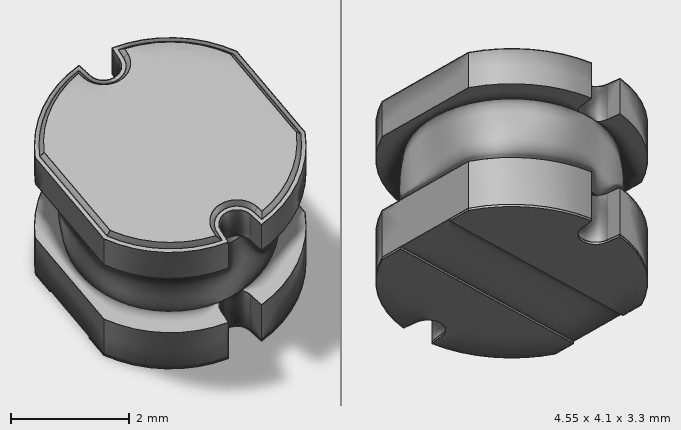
import cadquery as cq
import math

length = 4.55
width = 4.1
notch_mouth = 0.675
notch_floor_x = 1.73
notch_radius = 0.305
notch_flare = math.radians(7)
flange_radius = math.hypot(length / 2, notch_mouth / 2)

pad_thickness = 0.045
lower_flange_top = 1.0
upper_flange_bottom = 2.502
total_height = 3.3

ledge_width = 0.077
rim_chamfer = 0.077
ledge_height = total_height - rim_chamfer

post_diameter = 1.84
winding_end_radius = 1.845
winding_middle_radius = 1.905
pad_gap = 1.19


def flange_plate(bottom, top):
    """Flange outline extruded between two heights."""
    height = top - bottom
    disc = cq.Workplane("XY").workplane(offset=bottom).circle(flange_radius).extrude(height)
    flats = cq.Workplane("XY").box(2 * flange_radius, width, height, centered=(True, True, False))
    plate = disc.intersect(flats.translate((0, 0, bottom)))
    for direction in (-1, 1):
        plate = plate.cut(notch(direction, bottom, height))
    return plate


def notch(direction, bottom, height):
    """Round-floored notch whose flared sides are tangent to the floor."""
    center_x = notch_floor_x + notch_radius
    tangent_x = center_x - notch_radius * math.sin(notch_flare)
    tangent_y = notch_radius * math.cos(notch_flare)
    outer_x = flange_radius + notch_radius
    outer_y = tangent_y + (outer_x - tangent_x) * math.tan(notch_flare)
    return (
        cq.Workplane("XY").workplane(offset=bottom)
        .moveTo(direction * outer_x, outer_y)
        .lineTo(direction * tangent_x, tangent_y)
        .threePointArc((direction * notch_floor_x, 0), (direction * tangent_x, -tangent_y))
        .lineTo(direction * outer_x, -outer_y)
        .close()
        .extrude(height)
    )


def raised_top():
    """Plateau set in from the flange outline by the ledge width, chamfered from its top to the ledge."""
    outline = flange_plate(upper_flange_bottom, ledge_height).faces("<Z").wires().val()
    inset = outline.offset2D(-ledge_width, "intersection")
    plateau = cq.Workplane("XY").add(inset).toPending().extrude(total_height - upper_flange_bottom)
    return plateau.faces(">Z").chamfer(rim_chamfer)


def make_core():
    """Drum core: two notched flanges joined by a round post."""
    lower = flange_plate(pad_thickness, lower_flange_top)
    upper = flange_plate(upper_flange_bottom, ledge_height)
    post = (
        cq.Workplane("XY").workplane(offset=lower_flange_top)
        .circle(post_diameter / 2)
        .extrude(upper_flange_bottom - lower_flange_top)
    )
    return lower.union(post).union(upper).union(raised_top())


def make_winding():
    """Barrel-shaped ring that fills the space around the post."""
    middle_height = (lower_flange_top + upper_flange_bottom) / 2
    return (
        cq.Workplane("XZ")
        .moveTo(post_diameter / 2, lower_flange_top)
        .lineTo(winding_end_radius, lower_flange_top)
        .threePointArc(
            (winding_middle_radius, middle_height),
            (winding_end_radius, upper_flange_bottom),
        )
        .lineTo(post_diameter / 2, upper_flange_bottom)
        .close()
        .revolve(360, (0, 0, 0), (0, 1, 0))
    )


def make_pad(direction):
    """Terminal pad under one end of the core, following the flange outline."""
    half = cq.Workplane("XY").box(length, width, pad_thickness, centered=(True, True, False))
    half = half.translate((direction * (pad_gap + length) / 2, 0, 0))
    return flange_plate(0, pad_thickness).intersect(half)


core = make_core()
winding = make_winding()
pads = [make_pad(direction) for direction in (-1, 1)]

result = cq.Compound.makeCompound([core.val(), winding.val(), *[pad.val() for pad in pads]])